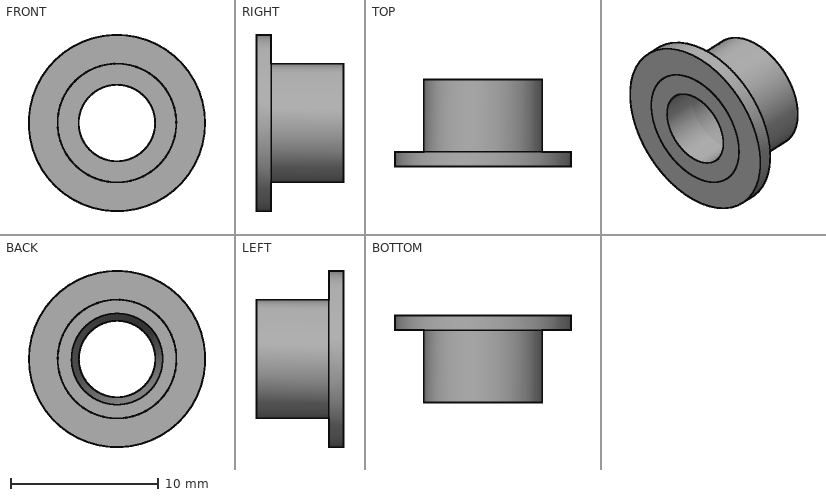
import cadquery as cq

ring_diameter = 12.0
ring_thickness = 1.01
sleeve_diameter = 8.08
sleeve_length = 5.94
bore_diameter = 5.18
bore_straight_length = 2.5
flare_diameter = 6.2


def tube(outer_diameter, inner_diameter, length):
    """Hollow cylinder from Y = 0 to Y = length."""
    return (
        cq.Workplane("XZ")
        .circle(outer_diameter / 2)
        .circle(inner_diameter / 2)
        .extrude(-length)
    )


def flared_sleeve():
    """Sleeve whose bore runs straight at the front and then widens in a cone to its rear end."""
    profile = (
        cq.Workplane("ZY")
        .moveTo(bore_diameter / 2, 0)
        .lineTo(sleeve_diameter / 2, 0)
        .lineTo(sleeve_diameter / 2, sleeve_length)
        .lineTo(flare_diameter / 2, sleeve_length)
        .lineTo(bore_diameter / 2, bore_straight_length)
        .close()
    )
    return profile.revolve(360, (0, 0, 0), (0, 1, 0))


sleeve = flared_sleeve()
flange_ring = tube(ring_diameter, sleeve_diameter, ring_thickness)

result = cq.Compound.makeCompound([sleeve.val(), flange_ring.val()])